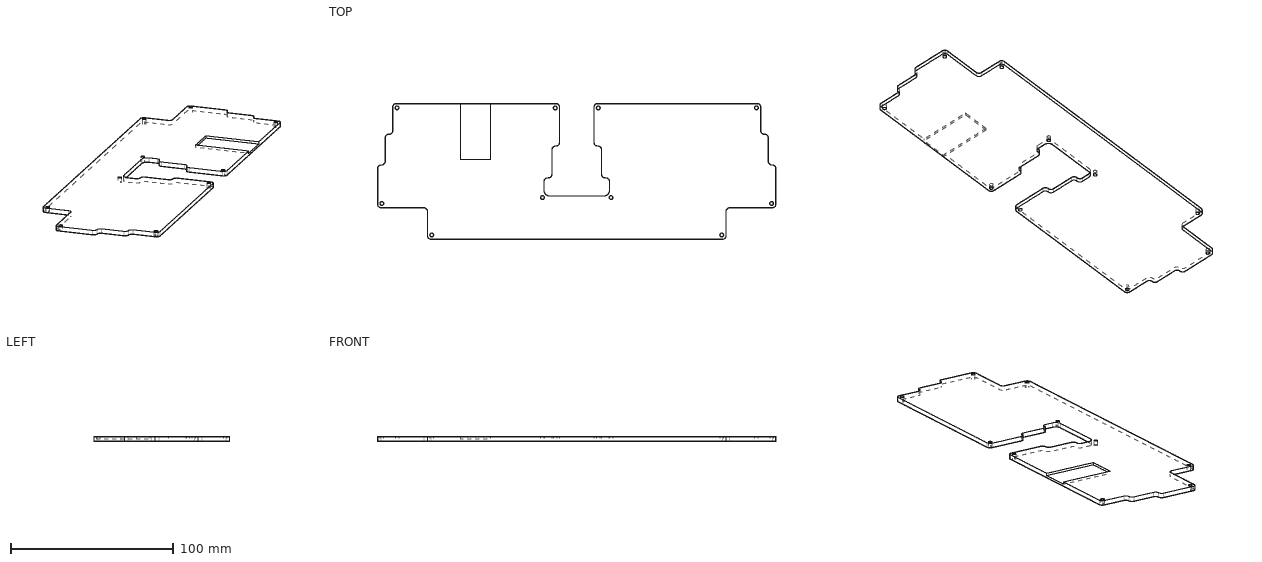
import cadquery as cq

length = 245.5
width = 83.8
thickness = 3.0
corner_radius = 2.2

half_length = length / 2
middle_half = 118.1
rear_half = 113.5
front_half = 92.0

mouth_half = 10.5
throat_half = 15.2
notch_half = 20.1
notch_end_radius = 3.5

outer_step_1 = 19.0
outer_step_2 = 37.8
shoulder = 64.4
notch_step_1 = 26.3
notch_step_2 = 46.0
notch_depth = 57.0

hole_diameter = 2.2
hole_inset = 2.7
notch_hole_half_spacing = 21.1
notch_hole_offset = 1.0

pocket_left = -71.7
pocket_width = 18.7
pocket_length = 34.6
pocket_depth = 1.5

rear_y = width / 2

match_tolerance = 0.02


def stepped_block(steps):
    """Extrude a mirrored outline from (half-width, distance from rear) points."""
    right = [(x, rear_y - distance) for x, distance in steps]
    left = [(-x, y) for x, y in reversed(right)]
    return cq.Workplane("XY").polyline(right + left).close().extrude(thickness)


def corner_edges(body, corners):
    """Select upright edges at mirrored (half-width, distance from rear) corners."""
    edges = []
    for edge in body.edges("|Z").vals():
        center = edge.Center()
        for x, distance in corners:
            x_error = abs(abs(center.x) - x)
            y_error = abs(center.y - rear_y + distance)
            if max(x_error, y_error) < match_tolerance:
                edges.append(edge)
    return body.newObject(edges)


outer_steps = [
    (rear_half, 0), (rear_half, outer_step_1),
    (middle_half, outer_step_1), (middle_half, outer_step_2),
    (half_length, outer_step_2), (half_length, shoulder),
    (front_half, shoulder), (front_half, width),
]
notch_steps = [
    (mouth_half, 0), (mouth_half, notch_step_1),
    (throat_half, notch_step_1), (throat_half, notch_step_2),
    (notch_half, notch_step_2), (notch_half, notch_depth),
]
plate = stepped_block(outer_steps).cut(stepped_block(notch_steps))

notch_floor = notch_steps[-1:]
plate = corner_edges(plate, notch_floor).fillet(notch_end_radius)
plate = corner_edges(plate, outer_steps + notch_steps[:-1]).fillet(corner_radius)

hole_positions = [
    (rear_half - hole_inset, hole_inset),
    (mouth_half + hole_inset, hole_inset),
    (half_length - hole_inset, shoulder - hole_inset),
    (front_half - hole_inset, width - hole_inset),
    (notch_hole_half_spacing, notch_depth + notch_hole_offset),
]
hole_centers = [(side * x, rear_y - distance) for x, distance in hole_positions for side in (-1, 1)]
holes = cq.Workplane("XY").pushPoints(hole_centers).circle(hole_diameter / 2).extrude(thickness)

pocket = (
    cq.Workplane("XY")
    .box(pocket_width, pocket_length, pocket_depth, centered=False)
    .translate((pocket_left, rear_y - pocket_length, thickness - pocket_depth))
)

result = plate.cut(holes).cut(pocket)